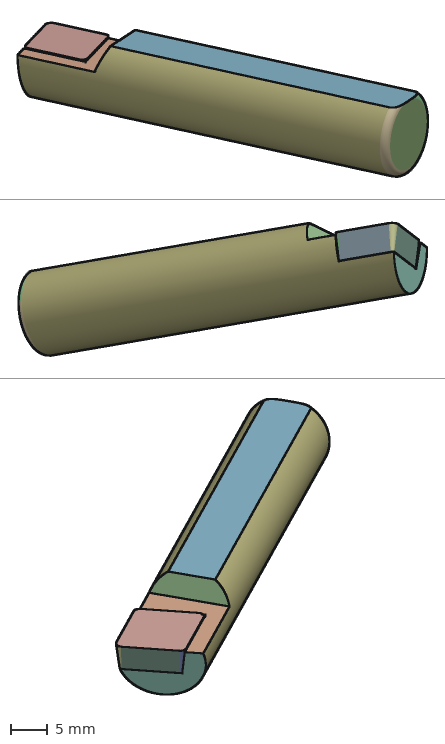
import cadquery as cq
import math

overall_length = 60.0
shank_radius = 6.0
end_rounding = 1.0
flat_height = 5.0

land_height = 1.8
land_end_x = 14.05
step_lean = 20.0

insert_top_z = 2.0
insert_thickness = 3.95
insert_back_y = 6.3
insert_width = 9.55
nose_radius = 0.85
side_lean = 10.0
relief_angle = 7.0

lean = math.radians(side_lean)
relief = math.radians(relief_angle)

corner_x = nose_radius * (1 - (1 + math.sin(lean)) / math.cos(lean))
side_length = insert_width / math.cos(lean)
side_shift = insert_width * math.tan(lean)


def make_sharp_insert_outline():
    front_y = insert_back_y - insert_width
    return cq.Sketch().polygon([
        (corner_x, insert_back_y),
        (corner_x + side_shift, front_y),
        (corner_x + side_shift + side_length, front_y),
        (corner_x + side_length, insert_back_y),
        (corner_x, insert_back_y),
    ])


def make_tapered_block(outline):
    """Extrude an outline down from the insert's top, narrowing by the relief angle."""
    return (
        cq.Workplane(cq.Plane(origin=(0, 0, insert_top_z), xDir=(1, 0, 0), normal=(0, 0, -1)))
        .placeSketch(outline.moved(cq.Location(cq.Vector(), cq.Vector(1, 0, 0), 180)))
        .extrude(insert_thickness, taper=relief_angle)
    )


def make_insert():
    return make_tapered_block(make_sharp_insert_outline().vertices().fillet(nose_radius))


def make_pocket():
    """Seat for the insert, with the same flanks but sharp corners."""
    return make_tapered_block(make_sharp_insert_outline())


def make_bar():
    bar = (
        cq.Workplane("YZ")
        .circle(shank_radius)
        .extrude(overall_length)
        .faces(">X")
        .edges()
        .fillet(end_rounding)
    )
    flat_cut = (
        cq.Workplane("XY")
        .workplane(offset=flat_height)
        .rect(2 * overall_length, 2 * shank_radius)
        .extrude(shank_radius)
    )
    return bar.cut(flat_cut)


def make_land_cut():
    step_top_x = land_end_x + (shank_radius - land_height) * math.tan(math.radians(step_lean))
    return (
        cq.Workplane("XZ")
        .polyline([
            (0, land_height),
            (land_end_x, land_height),
            (step_top_x, shank_radius),
            (0, shank_radius),
        ])
        .close()
        .extrude(shank_radius, both=True)
    )


def make_nose_cut():
    """Block ahead of the plane through the insert's front flank."""
    forward = (
        -math.cos(lean) * math.cos(relief),
        -math.sin(lean) * math.cos(relief),
        -math.sin(relief),
    )
    flank_plane = cq.Plane(origin=(corner_x, insert_back_y, insert_top_z), normal=forward)
    block_size = overall_length
    return cq.Workplane(flank_plane).rect(block_size, block_size).extrude(block_size)


def make_shank():
    return make_bar().cut(make_land_cut()).cut(make_nose_cut()).cut(make_pocket())


shank = make_shank()
insert = make_insert()

result = cq.Compound.makeCompound([shank.solids().val(), insert.solids().val()])